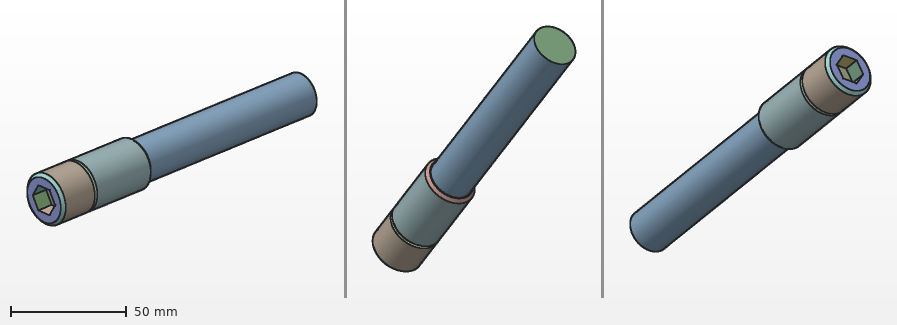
import cadquery as cq
import math

overall_length = 154.0
body_diameter = 24.0
rod_diameter = 20.0
rod_length = 100.0
screw_length = 19.0
chamfer = 1.5
hex_across_flats = 12.0
hex_depth = 8.0

front_y = -overall_length / 2
joint_y = front_y + screw_length
collar_length = overall_length - rod_length - screw_length


def cylinder_along_y(start_y, diameter, length):
    """Solid cylinder centred on the Y axis, growing toward +Y from start_y."""
    base = cq.Workplane("XZ", origin=(0, start_y, 0))
    return base.circle(diameter / 2).extrude(-length)


def make_stud():
    """Long plain rod with a thicker collar chamfered at both ends."""
    collar = cylinder_along_y(joint_y, body_diameter, collar_length)
    collar = collar.faces("<Y or >Y").chamfer(chamfer)
    rod = cylinder_along_y(joint_y + collar_length, rod_diameter, rod_length)
    return collar.union(rod)


def make_socket_screw():
    """Short screw with a chamfered front and a blind hexagon socket.

    Its flat rear face meets the chamfered collar, leaving a one-sided V groove.
    """
    screw = cylinder_along_y(front_y, body_diameter, screw_length)
    screw = screw.faces("<Y").chamfer(chamfer)
    hex_across_corners = hex_across_flats / math.cos(math.pi / 6)
    socket = (
        cq.Workplane("XZ", origin=(0, front_y, 0))
        .polygon(6, hex_across_corners)
        .extrude(-hex_depth)
    )
    return screw.cut(socket)


stud = make_stud()
socket_screw = make_socket_screw()

result = cq.Compound.makeCompound([stud.val(), socket_screw.val()])